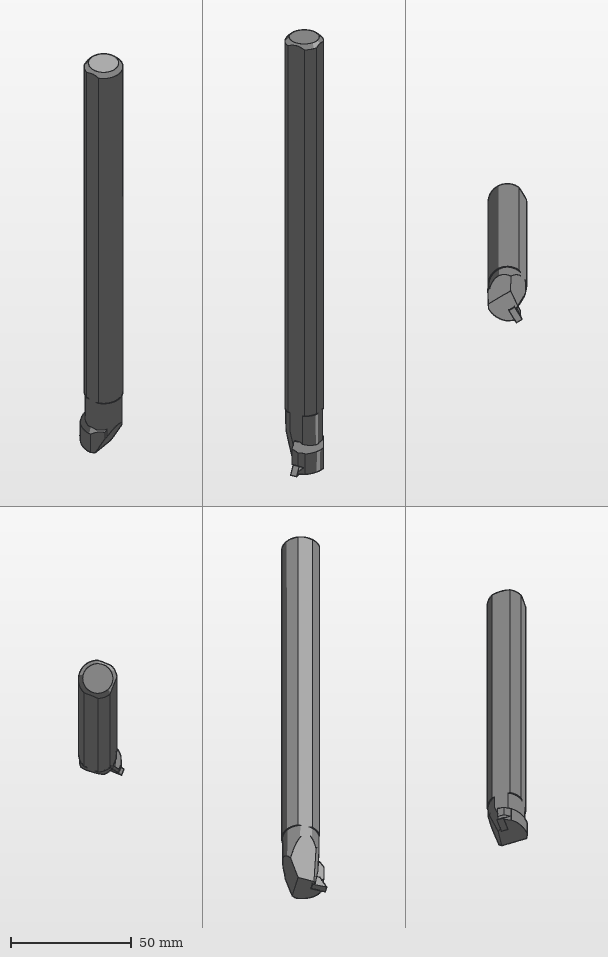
import cadquery as cq
import math

TOTAL_LENGTH = 201.2
SHANK_RADIUS = 8.0
NECK_RADIUS = 7.6
NECK_TOP = 27.0
SIDE_FLAT = 7.0
FACE_FLAT = 7.5
END_CHAMFER = 1.8
BIG = 40.2

HEAD_RADIUS = 10.7
HEAD_FRONT = -9.0
HEAD_CENTER_Y = HEAD_FRONT + HEAD_RADIUS - 0.02
HEAD_TOP = 10.3
CONE_HEIGHT = 4.2
CONE_INSET = 2.8
HEAD_BOTTOM = 0.6
HEAD_MIN_X = -9.7
SIDE_FACET_Y = -2.2
FACET_END = (-8.5, -4.8)
FRONT_RELIEF_START_X = 0.2
FRONT_RELIEF_END = (5.5, -6.2)
HEAD_MAX_X = 7.2
LAND_Y = 0.6

RELIEF_FOOT_X = 1.6
RELIEF_SLOPE = 0.45

GULLET_SLOPE = 0.24
GULLET_ENTRY = (-7.0, -1.5)
GULLET_BEND = (-5.0, 1.8)
GULLET_EXIT = (8.0, 3.2)
LAND_END_X = -4.0

INSERT_SIDE = 6.0
INSERT_THICKNESS = 2.8
TIP_X = -10.9
TIP_ANGLE = 60.0
LEAD_ANGLE = 3.0

CLEARANCE_TOP = 4.6
CLEARANCE_NOTCH = (-8.7, 3.8)
CLEARANCE_BOTTOM_X = -10.5
CLEARANCE_DEPTH = 6.5


def flatted_bar():
    """Shank and reduced neck, cut by the three lengthwise flats."""
    shank = cq.Workplane("XY").workplane(offset=NECK_TOP).circle(SHANK_RADIUS)
    shank = shank.extrude(TOTAL_LENGTH - NECK_TOP).faces(">Z").chamfer(END_CHAMFER)
    neck = cq.Workplane("XY").workplane(offset=HEAD_BOTTOM).circle(NECK_RADIUS)
    neck = neck.extrude(NECK_TOP - HEAD_BOTTOM)
    flats = cq.Workplane("XY").box(
        SIDE_FLAT + BIG, 2 * FACE_FLAT, TOTAL_LENGTH, centered=(False, True, False)
    ).translate((-SIDE_FLAT, 0, 0))
    return shank.union(neck).intersect(flats)


def head():
    """Eccentric head with its conical shoulder, trimmed by facets and the chip face."""
    profile = [
        (0, HEAD_BOTTOM),
        (HEAD_RADIUS, HEAD_BOTTOM),
        (HEAD_RADIUS, HEAD_TOP),
        (HEAD_RADIUS - CONE_INSET, HEAD_TOP + CONE_HEIGHT),
        (0, HEAD_TOP + CONE_HEIGHT),
    ]
    blank = cq.Workplane("XZ").polyline(profile).close().revolve(360, (0, 0, 0), (0, 1, 0))
    blank = blank.translate((0, HEAD_CENTER_Y, 0))
    footprint = [
        (HEAD_MIN_X, LAND_Y),
        (HEAD_MIN_X, SIDE_FACET_Y),
        FACET_END,
        (FACET_END[0], HEAD_FRONT),
        (FRONT_RELIEF_START_X, HEAD_FRONT),
        FRONT_RELIEF_END,
        (HEAD_MAX_X, LAND_Y),
    ]
    limits = cq.Workplane("XY").polyline(footprint).close().extrude(BIG)
    return blank.intersect(limits)


def relief_tool():
    """Wedge that slants the +X side of the head."""
    points = [
        (RELIEF_FOOT_X, 0),
        (BIG, 0),
        (BIG, (BIG - RELIEF_FOOT_X) / RELIEF_SLOPE),
    ]
    return cq.Workplane("XZ").polyline(points).close().extrude(BIG, both=True)


def gullet_profile(height):
    """Closed gullet outline at the given height."""
    shift = GULLET_SLOPE * height
    bends = [(x, y + shift) for x, y in (GULLET_ENTRY, GULLET_BEND, GULLET_EXIT)]
    entry_y = bends[0][1]
    points = [(-BIG, BIG), (-BIG, entry_y), *bends, (BIG, bends[-1][1]), (BIG, BIG)]
    return cq.Wire.makePolygon([cq.Vector(x, y, height) for x, y in points], close=True)


def gullet_tool():
    """Gullet volume, leaving a land behind the insert."""
    volume = cq.Solid.makeLoft([gullet_profile(0), gullet_profile(BIG)], True)
    land = cq.Workplane("XY").box(BIG, BIG, HEAD_TOP, centered=False)
    land = land.translate((LAND_END_X - BIG, LAND_Y - BIG, 0))
    return cq.Workplane(volume).cut(land)


def clearance_tool():
    """Undercut on the -X side of the head around the insert."""
    points = [
        (HEAD_MIN_X, CLEARANCE_TOP),
        CLEARANCE_NOTCH,
        (CLEARANCE_BOTTOM_X, 0),
        (-BIG, 0),
        (-BIG, CLEARANCE_TOP),
    ]
    tool = cq.Workplane("XZ", origin=(0, LAND_Y, 0)).polyline(points).close()
    return tool.extrude(CLEARANCE_DEPTH)


def make_insert():
    """Rhombic cutting insert with its sharp corner at the tip."""
    lead = math.radians(LEAD_ANGLE)
    side = math.radians(TIP_ANGLE)
    along = (INSERT_SIDE * math.cos(lead), INSERT_SIDE * math.sin(lead))
    up = (INSERT_SIDE * math.cos(side), INSERT_SIDE * math.sin(side))
    points = [
        (TIP_X, 0),
        (TIP_X + along[0], along[1]),
        (TIP_X + along[0] + up[0], along[1] + up[1]),
        (TIP_X + up[0], up[1]),
    ]
    plate = cq.Workplane("XZ", origin=(0, LAND_Y, 0)).polyline(points).close()
    return plate.extrude(INSERT_THICKNESS)


insert = make_insert()
bar = flatted_bar().union(head())
for tool in (relief_tool(), gullet_tool(), clearance_tool(), insert):
    bar = bar.cut(tool)

result = cq.Compound.makeCompound([bar.val(), insert.val()])